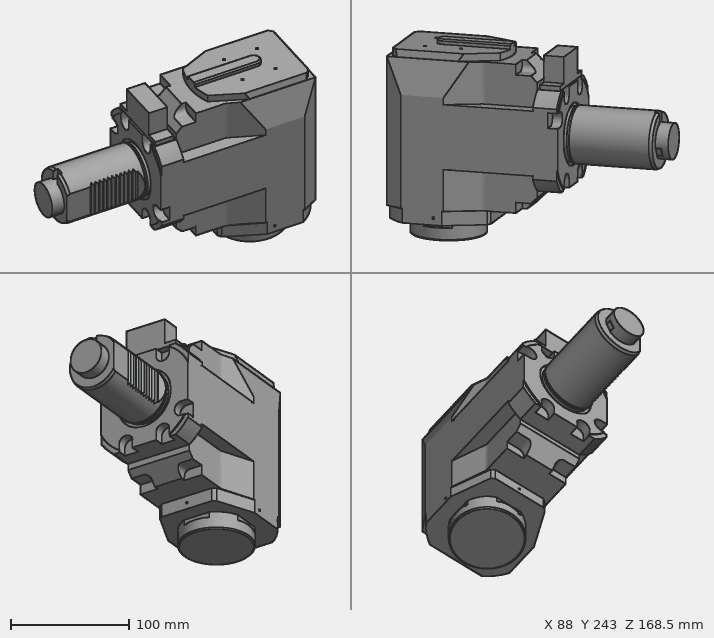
import cadquery as cq
import math


overall_length = 243
width = 88.0
half_width = width / 2
body_back = 154.0
body_half_height = 64.6
belt_half_height = 28.2
neck_half_width = 31.0
taper_back = 101.3
taper_front = 70.0
taper_blend_radius = 9.7
back_chamfer_x = 8.3
back_chamfer_y = 15.0
slope_start_z = 34.0
nose_chamfer = 14.8

pocket_inner_x = 13.5
pocket_floor_z = 55.5
pocket_back = 41.0
pocket_radius = 5.0

flange_thickness = 22.0
flange_radius = 54.0
step_radius = 49.3
step_depth = 1.0
slot_width = 13.4
slot_depth = 8.7
slot_pitch_x = 37.5
slot_center_z = 37.0
side_slot_x = 37.5
side_slot_z = 21.0
groove_diameter = 54.0
groove_depth = 1.5

key_front = 2.2
key_back = 20.0
key_base_width = 61.2
key_base_top = 48.0
key_width = 39

spindle_y = 110.3
plate_top = 71.2
plate_half_width = 35.5
plate_top_half_width = 34.0
plate_back = 150.2
plate_corner = 5.0
plate_taper_back = 90.0
plate_nose_half_width = 21.6
plate_nose_radius = 56.9
pin_hole_diameter = 2.1
pin_hole_spacing = 32.0
pin_hole_depth = 3.6
rib_width = 12.6
rib_top = 75.5
rib_back = 120.3
rib_chamfer = 1.5

base_bottom = -77.0
base_radius = 51.8
base_front = 65.1
base_taper_back = 102.8
base_taper_front = 67.0
base_taper_half_width = 28.7
side_hole_diameter = 1.7
side_hole_z = -71.0
side_hole_depth = 3.6
cover_diameter = 65.4
cover_bottom = -93.0
cover_flat_height = 4.9
cover_across_flats = 60.3
cover_chamfer = 1.2

shank_diameter = 50.0
collar_diameter = 48.5
collar_length = 4.0
relief_diameter = 47.6
relief_length = 1.7
shank_end = 77.5
shank_bevel_length = 3.0
shank_bevel_height = 1.0
pilot_diameter = 31.3
pilot_end = overall_length - body_back
flat_x = 20.5
flat_start = 9.2
tooth_pitch = 4.0
tooth_depth = tooth_pitch / 2
first_tooth = 13.0
tooth_count = 11
end_slot_width = 6.3
end_slot_depth = 4.4
notch_length = 5.0
notch_width = 8.0
notch_depth = 1.0
notch_angle = 28


def box(x0, x1, y0, y1, z0, z1):
    """Axis-aligned box between the given limits."""
    return cq.Workplane("XY").box(x1 - x0, y1 - y0, z1 - z0, centered=False).translate((x0, y0, z0))


def prism(points, z0, z1):
    """Vertical prism over a plan outline."""
    return cq.Workplane("XY").workplane(offset=z0).polyline(points).close().extrude(z1 - z0)


def mirrored(right_side):
    """Closed symmetric outline from the points of its +X half."""
    return right_side + [(-x, y) for x, y in reversed(right_side)]


def cylinder_y(diameter, y0, y1):
    """Cylinder on the shank axis."""
    return cq.Workplane("XZ").workplane(offset=-y1).circle(diameter / 2).extrude(y1 - y0)


def both_sides(solid):
    """The solid together with its mirror image across the middle plane X = 0."""
    return solid.union(solid.mirror("YZ"))


def make_housing():
    back_corner = [
        (half_width - back_chamfer_x, body_back),
        (half_width, body_back - back_chamfer_y),
    ]
    belt = prism(
        mirrored(back_corner + [(half_width, flange_thickness)]),
        -belt_half_height,
        belt_half_height,
    )
    narrowed_side = [
        (half_width, taper_back),
        (neck_half_width, taper_front),
        (neck_half_width, flange_thickness),
    ]
    core = prism(mirrored(back_corner + narrowed_side), -body_half_height, body_half_height)
    for side in (-1, 1):
        blend_edge = cq.selectors.NearestToPointSelector((side * neck_half_width, taper_front, 0))
        core = core.edges("|Z").edges(blend_edge).fillet(taper_blend_radius)
    core = core.faces("<Y").edges("|X").chamfer(nose_chamfer)
    return core.cut(make_pockets()).union(belt)


def make_pockets():
    pocket = box(
        pocket_inner_x, half_width,
        flange_thickness, pocket_back,
        pocket_floor_z, body_half_height + 2.5,
    )
    pocket = both_sides(pocket.edges("|Y and <X and <Z").fillet(pocket_radius))
    return pocket.union(pocket.mirror("XY"))


def make_side_slopes():
    """Wedges outside the leaning side faces of the housing and top plate."""
    lean = (half_width - plate_top_half_width) / (plate_top - slope_start_z)
    top_z = rib_top + 2.5
    wedge = (
        cq.Workplane("XZ")
        .polyline([
            (half_width, slope_start_z),
            (half_width - lean * (top_z - slope_start_z), top_z),
            (half_width, top_z),
        ])
        .close()
        .extrude(-body_back)
    )
    return both_sides(wedge)


def make_flange():
    flange = box(-half_width, half_width, 0, flange_thickness, -half_width, half_width)
    flange = flange.intersect(cylinder_y(2 * flange_radius, 0, flange_thickness))
    step = cylinder_y(3 * flange_radius, 0, step_depth).cut(cylinder_y(2 * step_radius, 0, step_depth))
    groove = cylinder_y(groove_diameter, 0, groove_depth)
    flange = flange.cut(step).cut(groove)

    for angle, x, z in [
        (0, -slot_pitch_x / 2, slot_center_z),
        (0, slot_pitch_x / 2, slot_center_z),
        (180, -slot_pitch_x / 2, slot_center_z),
        (180, slot_pitch_x / 2, slot_center_z),
        (-90, side_slot_z, side_slot_x),
        (90, side_slot_z, side_slot_x),
    ]:
        round_end = cylinder_y(slot_width, 0, slot_depth).translate((x, 0, z))
        mouth = box(x - slot_width / 2, x + slot_width / 2, 0, slot_depth, z, flange_radius)
        slot = round_end.union(mouth)
        flange = flange.cut(slot.rotate((0, 0, 0), (0, 1, 0), angle))

    key_base = box(
        -key_base_width / 2, key_base_width / 2,
        key_front, key_back,
        half_width, key_base_top,
    )
    key = box(-key_width / 2, key_width / 2, key_front, key_back, half_width, plate_top)
    return flange.union(key_base).union(key)


def make_top_plate():
    nose_corner_y = spindle_y - math.sqrt(plate_nose_radius**2 - plate_nose_half_width**2)
    plate = (
        cq.Workplane("XY")
        .workplane(offset=body_half_height)
        .moveTo(plate_nose_half_width, nose_corner_y)
        .lineTo(plate_half_width, plate_taper_back)
        .lineTo(plate_half_width, plate_back - plate_corner)
        .lineTo(plate_half_width - plate_corner, plate_back)
        .lineTo(-plate_half_width + plate_corner, plate_back)
        .lineTo(-plate_half_width, plate_back - plate_corner)
        .lineTo(-plate_half_width, plate_taper_back)
        .lineTo(-plate_nose_half_width, nose_corner_y)
        .threePointArc((0, spindle_y - plate_nose_radius), (plate_nose_half_width, nose_corner_y))
        .close()
        .extrude(plate_top - body_half_height)
    )
    return (
        plate.faces(">Z")
        .workplane(origin=(0, spindle_y, plate_top))
        .rect(pin_hole_spacing, pin_hole_spacing, forConstruction=True)
        .vertices()
        .hole(pin_hole_diameter, pin_hole_depth)
    )


def make_rib():
    round_y = rib_back - rib_width / 2
    front_y = spindle_y - plate_nose_radius
    rib = box(-rib_width / 2, rib_width / 2, front_y, round_y, body_half_height, rib_top)
    round_end = (
        cq.Workplane("XY")
        .workplane(offset=body_half_height)
        .center(0, round_y)
        .circle(rib_width / 2)
        .extrude(rib_top - body_half_height)
    )
    rib = rib.union(round_end)
    nose = (
        cq.Workplane("XY")
        .workplane(offset=body_half_height)
        .center(0, spindle_y)
        .circle(plate_nose_radius)
        .extrude(rib_top - body_half_height)
    )
    return rib.faces(">Z").edges("not <Y").chamfer(rib_chamfer).intersect(nose)


def make_base_plate():
    base = prism(
        mirrored([
            (half_width, body_back),
            (half_width, base_taper_back),
            (base_taper_half_width, base_taper_front),
            (base_taper_half_width, base_front),
        ]),
        base_bottom,
        -body_half_height,
    )
    disc = (
        cq.Workplane("XY")
        .workplane(offset=base_bottom)
        .center(0, spindle_y)
        .circle(base_radius)
        .extrude(-body_half_height - base_bottom)
    )
    base = base.intersect(disc)
    front_hole = cylinder_y(side_hole_diameter, base_front, base_front + side_hole_depth)
    side_hole = (
        cq.Workplane("YZ")
        .workplane(offset=-half_width)
        .center(spindle_y, side_hole_z)
        .circle(side_hole_diameter / 2)
        .extrude(side_hole_depth)
    )
    return base.cut(front_hole.translate((0, 0, side_hole_z))).cut(both_sides(side_hole))


def make_cover():
    cover = (
        cq.Workplane("XY")
        .workplane(offset=cover_bottom)
        .circle(cover_diameter / 2)
        .extrude(base_bottom - cover_bottom)
        .faces("<Z")
        .edges()
        .chamfer(cover_chamfer)
    )
    flat_bottom = base_bottom - cover_flat_height
    flat_x_position = cover_across_flats / 2
    flat_cutter = box(
        flat_x_position, cover_diameter,
        -cover_diameter, cover_diameter,
        flat_bottom, base_bottom,
    )
    for quarter in range(4):
        cover = cover.cut(flat_cutter.rotate((0, 0, 0), (0, 0, 1), 90 * quarter))
    return cover.translate((0, spindle_y, 0))


def make_shank():
    shank_radius = shank_diameter / 2
    shank = (
        cq.Workplane("XY")
        .polyline([
            (0, groove_depth),
            (relief_diameter / 2, groove_depth),
            (relief_diameter / 2, -relief_length),
            (collar_diameter / 2, -relief_length),
            (collar_diameter / 2, -collar_length),
            (shank_radius, -collar_length),
            (shank_radius, -shank_end + shank_bevel_length),
            (shank_radius - shank_bevel_height, -shank_end),
            (pilot_diameter / 2, -shank_end),
            (pilot_diameter / 2, -pilot_end),
            (0, -pilot_end),
        ])
        .close()
        .revolve(360, (0, 0, 0), (0, 1, 0))
    )

    outside = shank_diameter
    flat = prism(
        [
            (flat_x, -shank_end),
            (flat_x, -flat_start),
            (outside, -flat_start + outside - flat_x),
            (outside, -shank_end),
        ],
        -shank_radius,
        shank_radius,
    )
    shank = shank.cut(flat.intersect(box(0, outside, -shank_end, -collar_length, -outside, outside)))
    for tooth in range(tooth_count):
        y = -first_tooth - tooth * tooth_pitch
        valley = prism(
            [
                (flat_x - tooth_depth, y),
                (flat_x, y - tooth_pitch / 2),
                (flat_x, y + tooth_pitch / 2),
            ],
            -shank_radius,
            shank_radius,
        )
        shank = shank.cut(valley)

    end_slot = box(
        -end_slot_width / 2, end_slot_width / 2,
        -shank_end, -shank_end + end_slot_depth,
        0, shank_radius,
    ).cut(cylinder_y(pilot_diameter, -shank_end, 0))
    pilot_notch = box(
        -pilot_diameter, -pilot_diameter / 2 + notch_depth,
        -shank_end - notch_length, -shank_end,
        -notch_width / 2, notch_width / 2,
    ).rotate((0, 0, 0), (0, 1, 0), -notch_angle)
    return shank.cut(end_slot).cut(pilot_notch)


result = (
    make_housing()
    .union(make_top_plate())
    .cut(make_side_slopes())
    .union(make_rib())
    .union(make_flange())
    .union(make_base_plate())
    .union(make_cover())
    .union(make_shank())
)